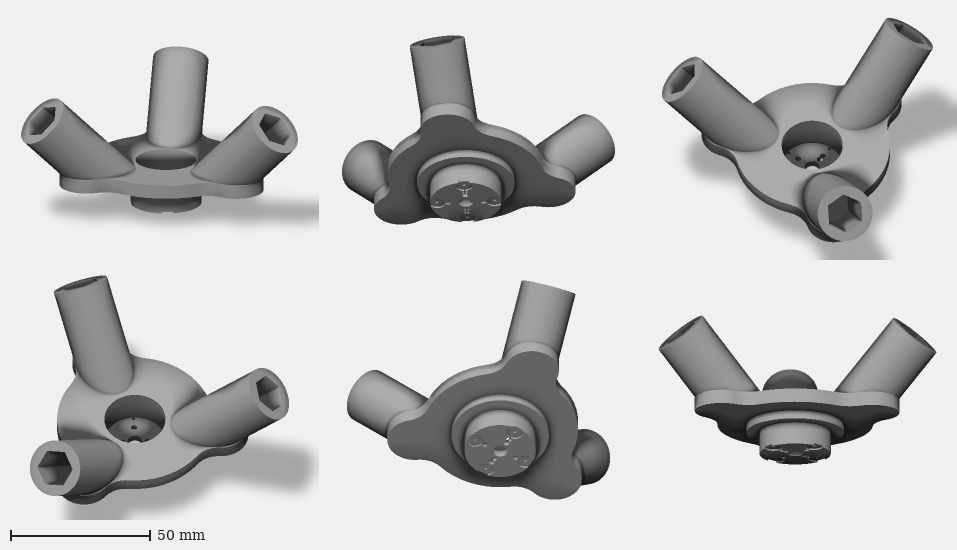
import cadquery as cq
import math

exposed_hub_height = 8.0
collar_thickness = 3.0
plate_thickness = 5.0
collar_bottom = exposed_hub_height
plate_bottom = collar_bottom + collar_thickness
plate_top = plate_bottom + plate_thickness

hub_radius = 12.8
collar_radius = 17.5
bore_radius = 11.0
floor_thickness = 2.8

cross_arm_count = 4
pattern_angle = 63.5
shaft_hole_diameter = 5.3
screw_hole_diameter = 2.1
wide_screw_circle_radius = 6.4
narrow_screw_circle_radius = 4.5
pin_hole_diameter = 1.2
pin_circle_radius = 10.4
pin_recess_diameter = 6.0
pin_recess_depth = 0.6

arm_count = 3
first_arm_azimuth = 24.8
arm_sideways_lean = -0.6
arm_elevation = 45.0
arm_radius = 10.0
arm_foot_distance = 27.0
arm_length = 30.58
hex_corner_diameter = 14.0
hex_turn = -5.5
hex_depth = 30.0

disc_radius = 28.0
lobe_radius = 9.8
lobe_distance = 31.2
blend_radius = 9.5

arm_azimuths = [first_arm_azimuth + i * 360.0 / arm_count for i in range(arm_count)]


def polar(radius, angle):
    """XY point at a radius and an angle in degrees."""
    return radius * math.cos(math.radians(angle)), radius * math.sin(math.radians(angle))


def disc(radius, bottom, height):
    """Upright cylinder on the hub axis."""
    return cq.Workplane("XY").workplane(offset=bottom).circle(radius).extrude(height)


def plate_outline():
    """Closed outline of disc arcs, lobe arcs and the concave blends tangent to both."""
    blend_distance = disc_radius + blend_radius
    blend_to_lobe = lobe_radius + blend_radius
    blend_angle = math.degrees(math.acos(
        (blend_distance**2 + lobe_distance**2 - blend_to_lobe**2) / (2 * blend_distance * lobe_distance)
    ))

    def blend_points(azimuth, side):
        """Points of one blend, from its disc end through its middle to its lobe end."""
        center = cq.Vector(*polar(blend_distance, azimuth + side * blend_angle))
        to_disc = center.normalized() * -1
        to_lobe = (cq.Vector(*polar(lobe_distance, azimuth)) - center).normalized()
        to_middle = (to_disc + to_lobe).normalized()
        return [(center + ray * blend_radius).toTuple()[:2] for ray in (to_disc, to_middle, to_lobe)]

    outline = cq.Workplane("XY").workplane(offset=plate_bottom)
    outline = outline.moveTo(*blend_points(arm_azimuths[0], -1)[0])
    for azimuth in arm_azimuths:
        _, entry_middle, entry_end = blend_points(azimuth, -1)
        exit_start, exit_middle, exit_end = blend_points(azimuth, 1)
        next_azimuth = azimuth + 360.0 / arm_count
        outline = outline.threePointArc(entry_middle, entry_end)
        outline = outline.threePointArc(polar(lobe_distance + lobe_radius, azimuth), exit_end)
        outline = outline.threePointArc(exit_middle, exit_start)
        disc_middle = polar(disc_radius, (azimuth + next_azimuth) / 2)
        outline = outline.threePointArc(disc_middle, blend_points(next_azimuth, -1)[0])
    return outline.close()


def arm_end_plane(azimuth):
    """Plane of an arm's outer end, facing along the arm, with its X axis up and inward."""
    along = math.cos(math.radians(arm_elevation))
    rise = math.sin(math.radians(arm_elevation))
    lean_azimuth = azimuth + arm_sideways_lean
    foot = cq.Vector(*polar(arm_foot_distance, azimuth), plate_top)
    axis = cq.Vector(*polar(along, lean_azimuth), rise)
    up_and_inward = cq.Vector(*polar(-rise, lean_azimuth), along)
    return cq.Plane(origin=foot + axis * arm_length, xDir=up_and_inward, normal=axis)


def arm_rod(azimuth):
    """Solid arm, trimmed flat where it stands on the plate."""
    rod = cq.Workplane(arm_end_plane(azimuth)).circle(arm_radius).extrude(-2 * arm_length)
    keep = disc(3 * disc_radius, plate_top, 2 * arm_length)
    return rod.intersect(keep)


def arm_socket(azimuth):
    """Hexagonal socket sunk into an arm from its outer end."""
    end = cq.Workplane(arm_end_plane(azimuth))
    return end.transformed(rotate=(0, 0, hex_turn)).polygon(6, hex_corner_diameter).extrude(-hex_depth)


def floor_holes(points, diameter):
    """Cylinders that pierce the hub floor at the given points."""
    return cq.Workplane("XY").pushPoints(points).circle(diameter / 2).extrude(floor_thickness)


def cut_floor_features(body):
    """Shaft, screw and pin holes through the hub floor, and a shallow recess under each pin hole."""
    cross_angles = [pattern_angle + i * 360.0 / cross_arm_count for i in range(cross_arm_count)]
    wide_screws = [polar(wide_screw_circle_radius, angle) for angle in cross_angles]
    narrow_screws = [polar(narrow_screw_circle_radius, angle) for angle in cross_angles[1::2]]
    pins = [polar(pin_circle_radius, angle) for angle in cross_angles]

    body = body.cut(floor_holes([(0, 0)], shaft_hole_diameter))
    body = body.cut(floor_holes(wide_screws, screw_hole_diameter))
    body = body.cut(floor_holes(narrow_screws, screw_hole_diameter))
    body = body.cut(floor_holes(pins, pin_hole_diameter))
    recesses = cq.Workplane("XY").pushPoints(pins).circle(pin_recess_diameter / 2).extrude(pin_recess_depth)
    return body.cut(recesses)


def make_arm_hub():
    """Lobed plate with its socketed arms above and its open cup-shaped hub below."""
    body = plate_outline().extrude(plate_thickness)
    body = body.union(disc(hub_radius, 0, plate_bottom))
    for azimuth in arm_azimuths:
        body = body.union(arm_rod(azimuth))
    for azimuth in arm_azimuths:
        body = body.cut(arm_socket(azimuth))
    body = body.cut(disc(bore_radius, floor_thickness, plate_top - floor_thickness))
    return cut_floor_features(body)


def make_collar():
    """Plain ring around the hub, bearing against the underside of the plate."""
    ring = cq.Workplane("XY").workplane(offset=collar_bottom).circle(collar_radius).circle(hub_radius)
    return ring.extrude(collar_thickness)


arm_hub = make_arm_hub()
collar = make_collar()

result = cq.Compound.makeCompound([arm_hub.val(), collar.val()])